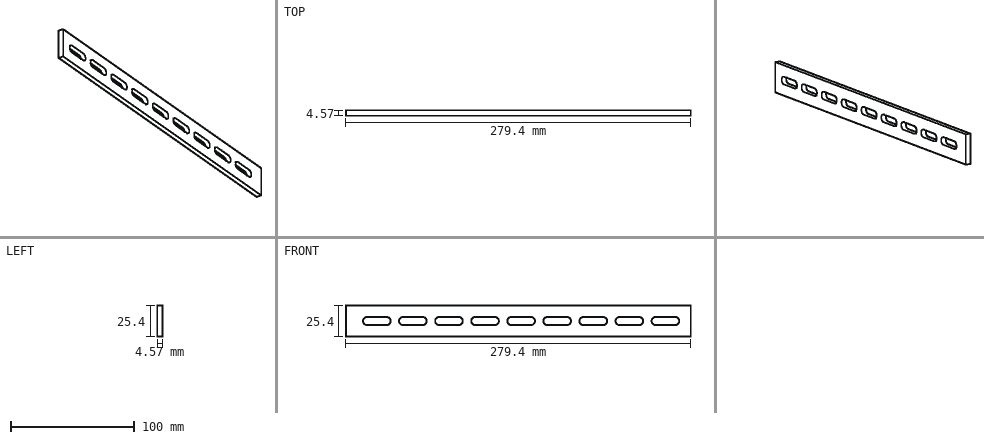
import cadquery as cq

bar_length = 279.4
bar_thickness = 4.57
bar_height = 25.4

slot_count = 9
slot_length = 22.225
slot_width = 6.35
slot_pitch = 29.21
end_margin = 13.97


def make_bar():
    """Plain rectangular bar centred on the origin."""
    return cq.Workplane("XY").box(bar_length, bar_thickness, bar_height)


def slot_centers():
    """Slot centres on the long centreline, evenly pitched from the -X end."""
    first_x = -bar_length / 2 + end_margin + slot_length / 2
    return [(first_x + i * slot_pitch, 0) for i in range(slot_count)]


def make_slots():
    """Round-ended cutters running through the full thickness."""
    return (
        cq.Workplane("XZ")
        .pushPoints(slot_centers())
        .slot2D(slot_length, slot_width)
        .extrude(bar_thickness, both=True)
    )


result = make_bar().cut(make_slots())